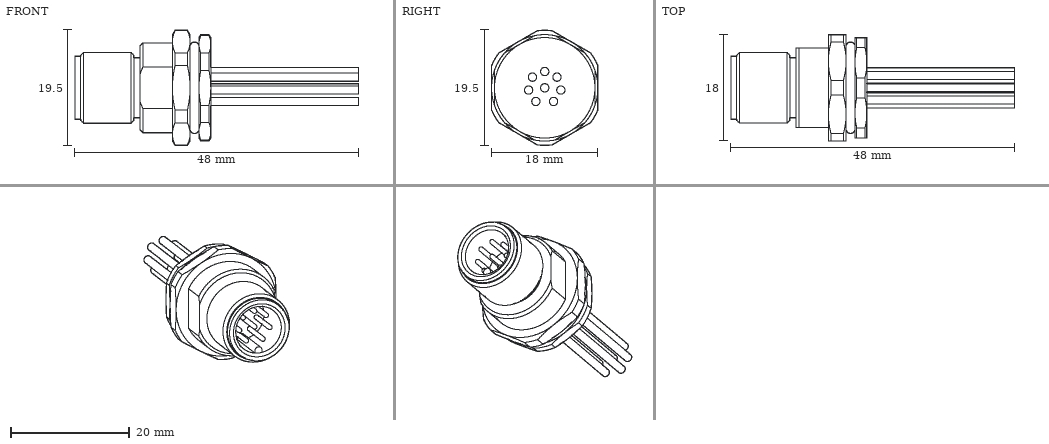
import cadquery as cq
import math


COLLAR_END = 1.0
SLEEVE_END = 10.0
NECK_END = 11.0
BODY_END = 16.5
FLANGE_END = 19.5
SEAL_END = 21.0
NUT_END = 23.0
WIRE_END = 48.0

COLLAR_RADIUS = 5.35
SLEEVE_RADIUS = 6.0
SLEEVE_CHAMFER = 0.5
NECK_RADIUS = 5.1
BODY_RADIUS = 7.6
BODY_CHAMFER = 0.5
BODY_ACROSS_FLATS = 13.5

FLANGE_ACROSS_FLATS = 18.0
FLANGE_CORNER_RADIUS = 9.75
NUT_ACROSS_FLATS = 17.0
NUT_CORNER_RADIUS = 9.0
FLANGE_CHAMFER_LENGTH = 0.45
NUT_CHAMFER_LENGTH = 0.3
HEX_TURN = 90.0
HEX_SIDES = 6
HEX_HALF_ANGLE = math.pi / HEX_SIDES
SEAL_OUTER_RADIUS = 7.75
SEAL_SECTION_RADIUS = (SEAL_END - FLANGE_END) / 2
SEAL_CENTER_RADIUS = SEAL_OUTER_RADIUS - SEAL_SECTION_RADIUS

BORE_RADIUS = 4.1
BORE_DEPTH = 9.0
BORE_CHAMFER = 0.55
BORE_CHAMFER_LENGTH = 0.4
KEY_RADIUS = 0.65
KEY_CENTER_RADIUS = 3.65
KEY_START = BORE_CHAMFER_LENGTH

CIRCLE_COUNT = 7
CIRCLE_RADIUS = 2.75
CIRCLE_STEP = 49.0
TOP_ANGLE = 90.0
PIN_RADIUS = 0.4
PIN_START = 1.95
WIRE_RADIUS = 0.7

FULL_TURN = 360.0
EMBED = 0.5


def rod(start, end, radius, y=0.0, z=0.0):
    """Cylinder parallel to X, centred on (y, z)."""
    return cq.Workplane("YZ", origin=(start, y, z)).circle(radius).extrude(end - start)


def contact_positions():
    """(y, z) places of the eight contacts."""
    places = [(0.0, 0.0)]
    first_angle = TOP_ANGLE - CIRCLE_STEP * (CIRCLE_COUNT - 1) / 2
    for i in range(CIRCLE_COUNT):
        angle = math.radians(first_angle + i * CIRCLE_STEP)
        places.append((CIRCLE_RADIUS * math.cos(angle), CIRCLE_RADIUS * math.sin(angle)))
    return places


def make_front():
    """Collar, chamfered plug sleeve and neck."""
    collar = rod(0.0, COLLAR_END, COLLAR_RADIUS)
    sleeve = rod(COLLAR_END, SLEEVE_END, SLEEVE_RADIUS).edges("%CIRCLE").chamfer(SLEEVE_CHAMFER)
    neck = rod(SLEEVE_END, NECK_END, NECK_RADIUS)
    return collar.union(sleeve).union(neck)


def make_body():
    """Round body with two flats facing -Y and +Y."""
    length = BODY_END - NECK_END
    body = rod(NECK_END, BODY_END, BODY_RADIUS).faces("<X").edges().chamfer(BODY_CHAMFER)
    flats = cq.Workplane("XY").box(length, BODY_ACROSS_FLATS, 2 * BODY_RADIUS)
    return body.intersect(flats.translate(((NECK_END + BODY_END) / 2, 0, 0)))


def make_hex(start, end, across_flats, corner_radius, chamfer_length):
    """Hexagon with flats facing -Y and +Y, its corners turned round and coned at both ends."""
    flat_radius = across_flats / 2
    corner_diameter = across_flats / math.cos(HEX_HALF_ANGLE)
    prism = (
        cq.Workplane("YZ", origin=(start, 0, 0))
        .transformed(rotate=(0, 0, HEX_TURN))
        .polygon(HEX_SIDES, corner_diameter)
        .extrude(end - start)
    )
    turned = (
        cq.Workplane("XY")
        .moveTo(start, 0)
        .lineTo(start, flat_radius)
        .lineTo(start + chamfer_length, corner_radius)
        .lineTo(end - chamfer_length, corner_radius)
        .lineTo(end, flat_radius)
        .lineTo(end, 0)
        .close()
        .revolve(FULL_TURN, (0, 0, 0), (1, 0, 0))
    )
    return prism.intersect(turned)


def make_seal():
    """Ring of round section, on a core that joins the flange to the nut."""
    middle = (FLANGE_END + SEAL_END) / 2
    ring = (
        cq.Workplane("XY")
        .moveTo(middle, SEAL_CENTER_RADIUS)
        .circle(SEAL_SECTION_RADIUS)
        .revolve(FULL_TURN, (0, 0, 0), (1, 0, 0))
    )
    core = rod(FLANGE_END, SEAL_END, SEAL_CENTER_RADIUS)
    return core.union(ring)


def cut_socket(housing):
    """Blind bore with a chamfered mouth."""
    bored = housing.cut(rod(0.0, BORE_DEPTH, BORE_RADIUS))
    mouth = cq.Workplane("YZ").circle(BORE_RADIUS + BORE_CHAMFER)
    mouth = mouth.workplane(offset=BORE_CHAMFER_LENGTH).circle(BORE_RADIUS).loft()
    return bored.cut(mouth)


def make_key():
    """Rounded coding rib along the bottom of the bore, reaching into its wall."""
    end = BORE_DEPTH + EMBED
    round_top = rod(KEY_START, end, KEY_RADIUS, z=-KEY_CENTER_RADIUS)
    foot_height = BORE_RADIUS + EMBED - KEY_CENTER_RADIUS
    foot = cq.Workplane("XY").box(end - KEY_START, 2 * KEY_RADIUS, foot_height)
    foot = foot.translate(((KEY_START + end) / 2, 0, -KEY_CENTER_RADIUS - foot_height / 2))
    return round_top.union(foot)


def make_contacts():
    """Round-tipped pins in the socket and wires leaving the nut, paired on each contact position."""
    contacts = []
    shank_start = PIN_START + PIN_RADIUS
    for y, z in contact_positions():
        contacts.append(rod(shank_start, BORE_DEPTH + EMBED, PIN_RADIUS, y, z))
        contacts.append(cq.Workplane("XY", origin=(shank_start, y, z)).sphere(PIN_RADIUS))
        contacts.append(rod(NUT_END - EMBED, WIRE_END, WIRE_RADIUS, y, z))
    return contacts


housing = make_front().union(make_body())
flange = make_hex(BODY_END, FLANGE_END, FLANGE_ACROSS_FLATS, FLANGE_CORNER_RADIUS, FLANGE_CHAMFER_LENGTH)
nut = make_hex(SEAL_END, NUT_END, NUT_ACROSS_FLATS, NUT_CORNER_RADIUS, NUT_CHAMFER_LENGTH)
housing = housing.union(flange).union(make_seal()).union(nut)

result = cut_socket(housing).union(make_key())
for contact in make_contacts():
    result = result.union(contact)